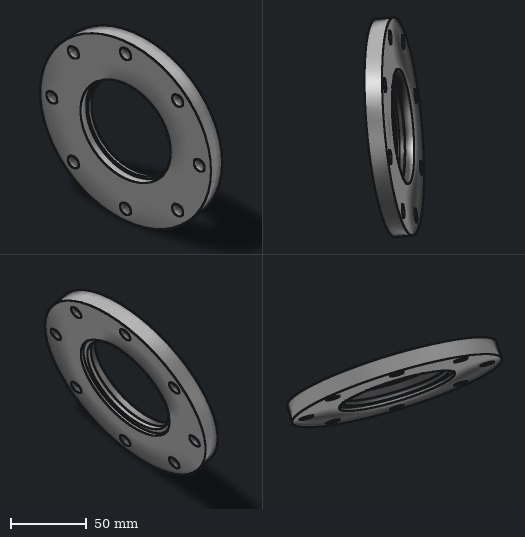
import cadquery as cq

outer_diameter = 145.03
thickness = 11.94

bore_diameter = 73.0
front_recess_diameter = 76.4
front_recess_depth = 6.0
rear_recess_diameter = 80.0
rear_recess_depth = 2.5

bolt_hole_count = 8
bolt_hole_diameter = 9.2
bolt_circle_diameter = 125.0

front_y = -thickness / 2


def cylinder_along_y(diameter, length, start_y=front_y):
    """Cylinder that starts at start_y and runs toward +Y."""
    return (
        cq.Workplane("XZ", origin=(0, start_y, 0))
        .circle(diameter / 2)
        .extrude(-length)
    )


def bolt_holes():
    """Ring of equally spaced through holes, the first one on the +X axis."""
    return (
        cq.Workplane("XZ", origin=(0, front_y, 0))
        .polarArray(bolt_circle_diameter / 2, 0, 360, bolt_hole_count)
        .circle(bolt_hole_diameter / 2)
        .extrude(-thickness)
    )


flange = cylinder_along_y(outer_diameter, thickness)
flange = flange.cut(cylinder_along_y(bore_diameter, thickness))
flange = flange.cut(cylinder_along_y(front_recess_diameter, front_recess_depth))
rear_recess_floor_y = front_y + thickness - rear_recess_depth
flange = flange.cut(cylinder_along_y(rear_recess_diameter, rear_recess_depth, rear_recess_floor_y))
result = flange.cut(bolt_holes())